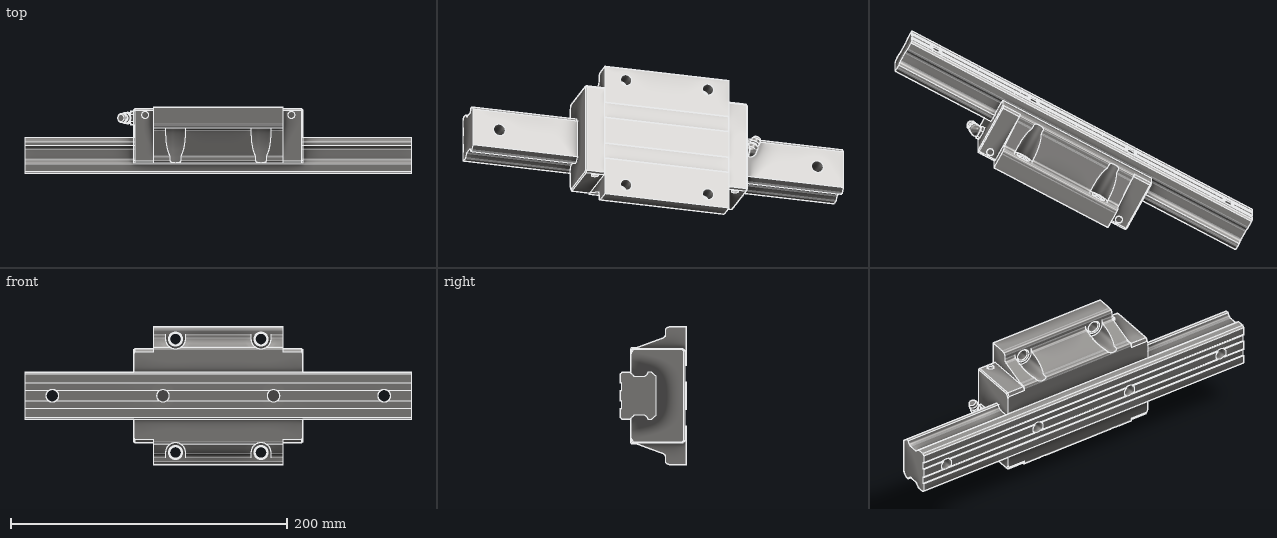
import cadquery as cq


RAIL_LENGTH = 280.0
RAIL_HEIGHT = 26.0
RAIL_HALF_WIDTH = 17.0
RAIL_BASE_CHAMFER = 1.5
RAIL_FOOT_HEIGHT = 7.0
RAIL_WEB_HALF_WIDTH = 14.0
RAIL_WEB_START = 10.0
RACE_BOTTOM = 17.5
RACE_TOP = 20.2
RACE_RADIUS = 4.2
RAIL_CROWN_START = 22.7
RAIL_TOP_HALF_WIDTH = 14.0
RAIL_CORNER_RADIUS = 1.0
BASE_GROOVE_INNER = 3.5
BASE_GROOVE_OUTER = 9.2
BASE_GROOVE_DEPTH = 0.8
RAIL_HOLE_DIAMETER = 9.0
RAIL_HOLE_PITCH = 80.0
RAIL_HOLE_COUNT = 4

CARRIAGE_FRONT = 7.5
CARRIAGE_BACK = 48.0
BLOCK_LENGTH = 93.8
BLOCK_HALF_WIDTH = 35.0
BLOCK_EDGE_RADIUS = 1.7
FLANGE_WIDTH = 100.0
FLANGE_HALF_WIDTH = FLANGE_WIDTH / 2
FLANGE_SEAT = 32.8
FLANGE_TAPER_START = 35.8
FLANGE_TAPER_END_HALF_WIDTH = 49.0
FLANGE_EDGE_RADIUS = 2.0
SLOPE_TOP_HALF_WIDTH = 42.5
SLOPE_END = 12.3
SLOPE_TOP_RADIUS = 2.8
SLOPE_END_RADIUS = 2.2
BACK_GROOVE_INNER = 10.0
BACK_GROOVE_OUTER = 21.8
BACK_GROOVE_DEPTH = 0.8

BOLT_PITCH_X = 62.0
BOLT_PITCH_Z = 82.0
BOLT_HOLE_DIAMETER = 8.5
BOLT_HOLE_CHAMFER = 0.8
SPOTFACE_DIAMETER = 14.3

CAP_LENGTH = 14.3
CAP_HALF_WIDTH = 34.2
CAP_BACK = 46.8
CAP_BACK_CHAMFER = 1.5
CAP_FRONT_CHAMFER_Y = 1.5
CAP_FRONT_CHAMFER_Z = 2.5
CAP_FACE_CHAMFER = 0.8
CAP_HOLE_DIAMETER = 5.0
CAP_HOLE_DEPTH = 1.5
CAP_HOLE_X = 53.0
CAP_HOLE_Y = 42.3
CARRIAGE_HALF_LENGTH = BLOCK_LENGTH / 2 + CAP_LENGTH

NIPPLE_Y = 40.0
NIPPLE_HEX_CORNERS = 9.8
NIPPLE_HEX_LENGTH = 2.2
NIPPLE_ELBOW_RADIUS = 4.2
NIPPLE_BODY_RADIUS = 4.0
NIPPLE_ELBOW_X = -65.5
NIPPLE_TILT = 65.0
NIPPLE_BODY_LENGTH = 4.5
NIPPLE_NECK_RADIUS = 2.2
NIPPLE_NECK_END = 6.2
NIPPLE_HEAD_RADIUS = 3.5
NIPPLE_HEAD_START = 7.3
NIPPLE_HEAD_END = 9.8
NIPPLE_TIP_RADIUS = 2.5
NIPPLE_LENGTH = 11.8


def round_long_edges(body, corners):
    """Fillet edges parallel to X at the given (Y, Z, radius) corners, on both Z sides."""
    for y, z, radius in corners:
        for side in (-1, 1):
            corner = cq.selectors.NearestToPointSelector((0, y, side * z))
            body = body.edges("|X").edges(corner).fillet(radius)
    return body


def rail_bar():
    """Plain rail section, symmetric about Z = 0, with a concave ball race on each flank."""
    half_outline = (
        cq.Workplane("YZ")
        .workplane(offset=-RAIL_LENGTH / 2)
        .lineTo(0, BASE_GROOVE_INNER)
        .lineTo(BASE_GROOVE_DEPTH, BASE_GROOVE_INNER)
        .lineTo(BASE_GROOVE_DEPTH, BASE_GROOVE_OUTER)
        .lineTo(0, BASE_GROOVE_OUTER)
        .lineTo(0, RAIL_HALF_WIDTH - RAIL_BASE_CHAMFER)
        .lineTo(RAIL_BASE_CHAMFER, RAIL_HALF_WIDTH)
        .lineTo(RAIL_FOOT_HEIGHT, RAIL_HALF_WIDTH)
        .lineTo(RAIL_WEB_START, RAIL_WEB_HALF_WIDTH)
        .lineTo(RACE_BOTTOM, RAIL_WEB_HALF_WIDTH)
        .radiusArc((RACE_TOP, RAIL_HALF_WIDTH), -RACE_RADIUS)
        .lineTo(RAIL_CROWN_START, RAIL_HALF_WIDTH)
        .lineTo(RAIL_HEIGHT, RAIL_TOP_HALF_WIDTH)
        .lineTo(RAIL_HEIGHT, 0)
    )
    corners = [
        (RAIL_FOOT_HEIGHT, RAIL_HALF_WIDTH, RAIL_CORNER_RADIUS),
        (RAIL_WEB_START, RAIL_WEB_HALF_WIDTH, RAIL_CORNER_RADIUS),
        (RACE_BOTTOM, RAIL_WEB_HALF_WIDTH, RAIL_CORNER_RADIUS),
        (RAIL_CROWN_START, RAIL_HALF_WIDTH, RAIL_CORNER_RADIUS),
    ]
    return round_long_edges(half_outline.mirrorX().extrude(RAIL_LENGTH), corners)


def y_cylinder(x, z, start, end, radius):
    """Cylinder parallel to Y between two Y positions."""
    axis = cq.Vector(0, 1, 0)
    return cq.Workplane(cq.Solid.makeCylinder(radius, end - start, cq.Vector(x, start, z), axis))


def make_rail():
    rail = rail_bar()
    for index in range(RAIL_HOLE_COUNT):
        x = (index - (RAIL_HOLE_COUNT - 1) / 2) * RAIL_HOLE_PITCH
        rail = rail.cut(y_cylinder(x, 0, 0, RAIL_HEIGHT, RAIL_HOLE_DIAMETER / 2))
    return rail


def make_centre_block():
    """Flanged block between the end caps, with sloped undersides and grooves in the back."""
    half_points = [
        (CARRIAGE_FRONT, 0),
        (CARRIAGE_FRONT, BLOCK_HALF_WIDTH),
        (SLOPE_END, BLOCK_HALF_WIDTH),
        (FLANGE_SEAT, SLOPE_TOP_HALF_WIDTH),
        (FLANGE_SEAT, FLANGE_TAPER_END_HALF_WIDTH),
        (FLANGE_TAPER_START, FLANGE_HALF_WIDTH),
        (CARRIAGE_BACK, FLANGE_HALF_WIDTH),
        (CARRIAGE_BACK, BACK_GROOVE_OUTER),
        (CARRIAGE_BACK - BACK_GROOVE_DEPTH, BACK_GROOVE_OUTER),
        (CARRIAGE_BACK - BACK_GROOVE_DEPTH, BACK_GROOVE_INNER),
        (CARRIAGE_BACK, BACK_GROOVE_INNER),
        (CARRIAGE_BACK, 0),
    ]
    block = (
        cq.Workplane("YZ")
        .workplane(offset=-BLOCK_LENGTH / 2)
        .polyline(half_points)
        .mirrorX()
        .extrude(BLOCK_LENGTH)
    )
    corners = [
        (CARRIAGE_FRONT, BLOCK_HALF_WIDTH, BLOCK_EDGE_RADIUS),
        (SLOPE_END, BLOCK_HALF_WIDTH, SLOPE_END_RADIUS),
        (FLANGE_SEAT, SLOPE_TOP_HALF_WIDTH, SLOPE_TOP_RADIUS),
        (FLANGE_SEAT, FLANGE_TAPER_END_HALF_WIDTH, FLANGE_EDGE_RADIUS),
    ]
    return round_long_edges(block, corners)


def cut_bolt_holes(block):
    """Four flange holes, each with a spotface that is open towards the flange edge."""
    slot_reach = FLANGE_HALF_WIDTH - BOLT_PITCH_Z / 2
    hole_radius = BOLT_HOLE_DIAMETER / 2
    for x in (-BOLT_PITCH_X / 2, BOLT_PITCH_X / 2):
        for side in (-1, 1):
            z = side * BOLT_PITCH_Z / 2
            block = block.cut(y_cylinder(x, z, 0, FLANGE_SEAT, SPOTFACE_DIAMETER / 2))
            slot = cq.Workplane().box(SPOTFACE_DIAMETER, FLANGE_SEAT, slot_reach)
            block = block.cut(slot.translate((x, FLANGE_SEAT / 2, z + side * slot_reach / 2)))
            block = block.cut(y_cylinder(x, z, FLANGE_SEAT, CARRIAGE_BACK, hole_radius))
            mouth = cq.Solid.makeCone(
                hole_radius + BOLT_HOLE_CHAMFER,
                hole_radius,
                BOLT_HOLE_CHAMFER,
                cq.Vector(x, FLANGE_SEAT, z),
                cq.Vector(0, 1, 0),
            )
            block = block.cut(cq.Workplane(mouth))
    return block


def make_end_cap():
    """End cap on the +X end of the centre block."""
    half_points = [
        (CARRIAGE_FRONT, 0),
        (CARRIAGE_FRONT, CAP_HALF_WIDTH - CAP_FRONT_CHAMFER_Z),
        (CARRIAGE_FRONT + CAP_FRONT_CHAMFER_Y, CAP_HALF_WIDTH),
        (CAP_BACK - CAP_BACK_CHAMFER, CAP_HALF_WIDTH),
        (CAP_BACK, CAP_HALF_WIDTH - CAP_BACK_CHAMFER),
        (CAP_BACK, 0),
    ]
    cap = (
        cq.Workplane("YZ")
        .workplane(offset=BLOCK_LENGTH / 2)
        .polyline(half_points)
        .mirrorX()
        .extrude(CAP_LENGTH)
        .faces(">X")
        .edges("not <Y")
        .chamfer(CAP_FACE_CHAMFER)
    )
    for side in (-1, 1):
        mouth = cq.Vector(CAP_HOLE_X, CAP_HOLE_Y, side * CAP_HALF_WIDTH)
        inward = cq.Vector(0, 0, -side)
        hole = cq.Solid.makeCylinder(CAP_HOLE_DIAMETER / 2, CAP_HOLE_DEPTH, mouth, inward)
        cap = cap.cut(cq.Workplane(hole))
    return cap


def make_carriage():
    cap = make_end_cap()
    block = cut_bolt_holes(make_centre_block())
    return block.union(cap).union(cap.mirror("YZ")).cut(rail_bar())


def make_nipple():
    """Hexagon base on the -X cap, a ball elbow and a tilted stem with a grooved head."""
    mount_x = -CARRIAGE_HALF_LENGTH
    axis_plane = cq.Plane(origin=(mount_x, NIPPLE_Y, 0), xDir=(0, 1, 0), normal=(-1, 0, 0))
    base = cq.Workplane(axis_plane).polygon(6, NIPPLE_HEX_CORNERS).extrude(NIPPLE_HEX_LENGTH)
    shank = cq.Workplane(axis_plane).circle(NIPPLE_BODY_RADIUS).extrude(mount_x - NIPPLE_ELBOW_X)
    elbow_centre = (NIPPLE_ELBOW_X, NIPPLE_Y, 0)
    elbow = cq.Workplane("XZ").sphere(NIPPLE_ELBOW_RADIUS).translate(elbow_centre)
    stem = (
        cq.Workplane("XZ")
        .lineTo(NIPPLE_BODY_RADIUS, 0)
        .lineTo(NIPPLE_BODY_RADIUS, NIPPLE_BODY_LENGTH)
        .lineTo(NIPPLE_NECK_RADIUS, NIPPLE_BODY_LENGTH)
        .lineTo(NIPPLE_NECK_RADIUS, NIPPLE_NECK_END)
        .lineTo(NIPPLE_HEAD_RADIUS, NIPPLE_HEAD_START)
        .lineTo(NIPPLE_HEAD_RADIUS, NIPPLE_HEAD_END)
        .lineTo(NIPPLE_TIP_RADIUS, NIPPLE_LENGTH)
        .lineTo(0, NIPPLE_LENGTH)
        .close()
        .revolve(360, (0, 0, 0), (0, 1, 0))
        .rotate((0, 0, 0), (0, 1, 0), NIPPLE_TILT - 90)
        .translate(elbow_centre)
    )
    return base.union(shank).union(elbow).union(stem)


rail = make_rail()
carriage = make_carriage()
nipple = make_nipple()

result = cq.Compound.makeCompound([body.solids().val() for body in (rail, carriage, nipple)])